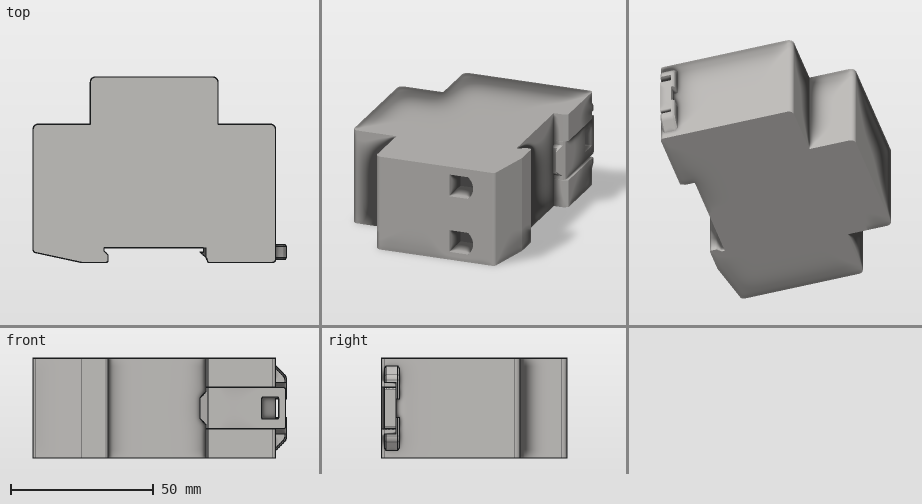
import cadquery as cq

total_length = 88.8
body_length = 85.0
body_height = 65.0
body_width = 35.0
shoulder_height = 48.5
tower_left = 20.1
tower_right = 64.8
top_corner_radius = 1.95
foot_corner_radius = 1.15

slope_start_height = 3.6
slope_end_x = 17.0

channel_left = 24.95
channel_right = 60.6
channel_depth = 5.15
lip_tip_x = 26.4
lip_tip_height = 2.6
lip_root_height = 4.0
lip_corner_radius = 0.8
lead_in_length = 0.8
lead_in_height = 1.7

entry_width = 8.2
entry_top = 20.7
entry_arch_start = 13.7
entry_bottom = 11.7
entry_offset = 10.5
entry_depth = 10.7

clip_recess = 1.1
clip_start_x = channel_right + lead_in_length
slot_width = 14.7
clip_clearance = 0.2
clip_width = slot_width - 2 * clip_clearance
clip_end_x = 88.45
clip_corner_radius = 0.7
window_left = 80.1
window_right = 86.05
window_width = 7.7
window_corner_radius = 0.5

hook_tip_x = 58.5
hook_top = 3.6
hook_tip_width = 7.3
hook_root_width = 11.5
hook_neck_x = 59.7

guard_top = 6.3
guard_root_width = 29.7
guard_tip_width = guard_root_width - 2 * (total_length - body_length)
guard_corner_radius = 2.9
guard_edge_chamfer = 0.6
ear_gap = 17.9
plate_notch_width = 6.6


def box(x_range, y_range, width):
    """Block between two X and two Y positions, centred on Z."""
    (x0, x1), (y0, y1) = x_range, y_range
    return cq.Workplane("XY", origin=(x0, y0, 0)).box(
        x1 - x0, y1 - y0, width, centered=(False, False, True)
    )


def plan_extrude(points, y0, y1):
    """Extrude an outline given as (X, Z) points from height y0 to y1."""
    return cq.Workplane("XZ", origin=(0, y1, 0)).polyline(points).close().extrude(y1 - y0)


def fillet_upright(solid, radius, *corners):
    """Round the Z-parallel edges that stand at the given (X, Y) corners."""
    reach = 0.1
    for x, y in corners:
        selector = cq.selectors.BoxSelector(
            (x - reach, y - reach, -reach), (x + reach, y + reach, reach)
        )
        solid = solid.edges(selector).fillet(radius)
    return solid


def make_housing():
    outline = [
        (0, slope_start_height),
        (slope_end_x, 0),
        (lip_tip_x, 0),
        (lip_tip_x, lip_tip_height),
        (channel_left, lip_root_height),
        (channel_left, channel_depth),
        (channel_right, channel_depth),
        (channel_right, lead_in_height),
        (clip_start_x, 0),
        (body_length, 0),
        (body_length, shoulder_height),
        (tower_right, shoulder_height),
        (tower_right, body_height),
        (tower_left, body_height),
        (tower_left, shoulder_height),
        (0, shoulder_height),
    ]
    housing = cq.Workplane("XY").polyline(outline).close().extrude(body_width / 2, both=True)
    housing = fillet_upright(
        housing,
        top_corner_radius,
        (0, shoulder_height),
        (tower_left, body_height),
        (tower_right, body_height),
        (body_length, shoulder_height),
    )
    housing = fillet_upright(housing, foot_corner_radius, (0, slope_start_height), (body_length, 0))
    return fillet_upright(housing, lip_corner_radius, (lip_tip_x, 0))


def make_cable_entry(z):
    half = entry_width / 2
    return (
        cq.Workplane("YZ", origin=(0, 0, z))
        .moveTo(entry_arch_start, -half)
        .lineTo(entry_top, -half)
        .lineTo(entry_top, half)
        .lineTo(entry_arch_start, half)
        .threePointArc((entry_bottom, 0), (entry_arch_start, -half))
        .close()
        .extrude(entry_depth)
    )


def make_guard():
    root = guard_root_width / 2
    tip = guard_tip_width / 2
    outline = [(body_length, -root), (total_length, -tip), (total_length, tip), (body_length, root)]
    guard = plan_extrude(outline, clip_recess, guard_top)
    guard = guard.edges("|Y and >X").fillet(guard_corner_radius)
    rim = guard.faces("<Y or >Y").edges("not <X")
    guard = rim.chamfer(guard_edge_chamfer)
    between_ears = box((body_length, total_length), (0, channel_depth), ear_gap)
    guard = guard.cut(between_ears)
    notch = box((body_length, total_length), (0, guard_top), plate_notch_width)
    return guard.cut(notch)


def make_clip():
    clip = box((clip_start_x, clip_end_x), (clip_recess, channel_depth), clip_width)
    clip = clip.edges("|Y and >X").fillet(clip_corner_radius)
    return clip.union(make_hook())


def make_hook():
    profile = [
        (clip_start_x, clip_recess),
        (hook_tip_x, hook_top),
        (hook_neck_x, hook_top),
        (hook_neck_x, channel_depth),
        (clip_start_x, channel_depth),
    ]
    wedge = cq.Workplane("XY").polyline(profile).close().extrude(clip_width / 2, both=True)
    tip = hook_tip_width / 2
    root = hook_root_width / 2
    side = clip_width / 2
    plan = [
        (hook_tip_x, -tip),
        (channel_right, -root),
        (channel_right, -side),
        (clip_start_x, -side),
        (clip_start_x, side),
        (channel_right, side),
        (channel_right, root),
        (hook_tip_x, tip),
    ]
    return wedge.intersect(plan_extrude(plan, 0, channel_depth))


clip_slot = box((channel_right, total_length), (0, channel_depth), slot_width)
window = box((window_left, window_right), (0, channel_depth), window_width)
window = window.edges("|Y").fillet(window_corner_radius)

result = make_housing().cut(clip_slot)
for entry_z in (-entry_offset, entry_offset):
    result = result.cut(make_cable_entry(entry_z))
result = result.union(make_guard()).union(make_clip()).cut(window)